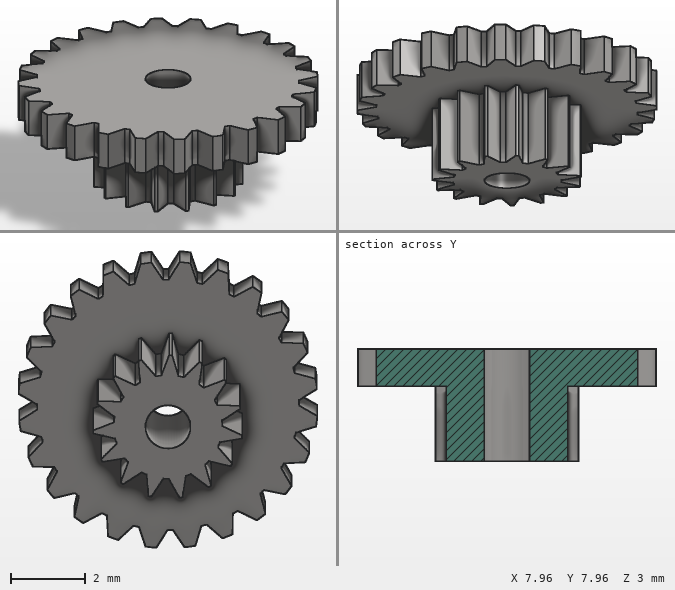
import cadquery as cq
import math

OVERALL_WIDTH = 7.96
TOTAL_HEIGHT = 3.0

WHEEL_TEETH = 24
WHEEL_ROOT_RADIUS = 3.495
WHEEL_TIP_ANGLE = 4.2
WHEEL_ROOT_ANGLE = 2.4
WHEEL_CORNER_ANGLE = 180 / WHEEL_TEETH - WHEEL_TIP_ANGLE / 2
WHEEL_TIP_RADIUS = OVERALL_WIDTH / 2 / math.cos(math.radians(WHEEL_CORNER_ANGLE))
WHEEL_THICKNESS = TOTAL_HEIGHT / 3

PINION_TEETH = 15
PINION_TIP_RADIUS = WHEEL_TIP_RADIUS / 2
PINION_ROOT_RADIUS = 1.45
PINION_TIP_ANGLE = 2.4
PINION_ROOT_ANGLE = 5.9
PINION_LENGTH = TOTAL_HEIGHT - WHEEL_THICKNESS

BORE_DIAMETER = 1.2

MINUS_Y = -90.0
WHEEL_FIRST_TOOTH = MINUS_Y + 180 / WHEEL_TEETH
PINION_FIRST_TOOTH = MINUS_Y


def polar(radius, angle):
    """Point at a radius and an angle in degrees."""
    return (radius * math.cos(math.radians(angle)), radius * math.sin(math.radians(angle)))


def toothed_disc(teeth, tip_radius, root_radius, tip_angle, root_angle, first_tooth, thickness):
    """Straight-flanked gear standing on Z = 0, with round tips and flat gap floors."""
    pitch = 360 / teeth
    outline = cq.Workplane("XY").moveTo(*polar(tip_radius, first_tooth - tip_angle / 2))
    for tooth in range(teeth):
        tip = first_tooth + tooth * pitch
        gap = tip + pitch / 2
        next_tip_start = tip + pitch - tip_angle / 2
        outline = (
            outline.threePointArc(polar(tip_radius, tip), polar(tip_radius, tip + tip_angle / 2))
            .lineTo(*polar(root_radius, gap - root_angle / 2))
            .lineTo(*polar(root_radius, gap + root_angle / 2))
        )
        if tooth < teeth - 1:
            outline = outline.lineTo(*polar(tip_radius, next_tip_start))
    return outline.close().extrude(thickness)


pinion = toothed_disc(
    PINION_TEETH,
    PINION_TIP_RADIUS,
    PINION_ROOT_RADIUS,
    PINION_TIP_ANGLE,
    PINION_ROOT_ANGLE,
    PINION_FIRST_TOOTH,
    PINION_LENGTH,
)

wheel = toothed_disc(
    WHEEL_TEETH,
    WHEEL_TIP_RADIUS,
    WHEEL_ROOT_RADIUS,
    WHEEL_TIP_ANGLE,
    WHEEL_ROOT_ANGLE,
    WHEEL_FIRST_TOOTH,
    WHEEL_THICKNESS,
).translate((0, 0, PINION_LENGTH))

bore = cq.Workplane("XY").circle(BORE_DIAMETER / 2).extrude(TOTAL_HEIGHT)

result = pinion.union(wheel).cut(bore)